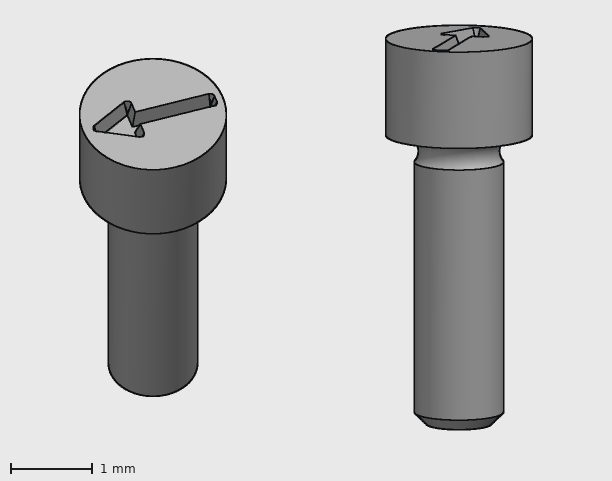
import cadquery as cq
import math

total_length = 4.8
head_radius = 1.8 / 2
head_height = 1.2
shank_radius = 1.1 / 2
tip_chamfer = 0.15

neck_radius = 0.5
groove_radius = 0.2

pocket_depth = 0.2
wall_draft = 15.0
arrow_tail_y = 0.755
arrow_shoulder_y = -0.25
arrow_tip_y = -0.715
arrow_stem_half_width = 0.05
arrow_head_half_width = 0.25

cutter_overrun = 0.01


def make_body():
    """Revolve the half profile of head, undercut, shank and chamfered tip about Z."""
    head_bottom = total_length - head_height
    groove_center_r = neck_radius + groove_radius
    groove_center_z = head_bottom - groove_radius
    groove_drop = math.sqrt(groove_radius**2 - (groove_center_r - shank_radius) ** 2)
    groove_bottom = groove_center_z - groove_drop

    return (
        cq.Workplane("XZ")
        .moveTo(0, 0)
        .lineTo(shank_radius - tip_chamfer, 0)
        .lineTo(shank_radius, tip_chamfer)
        .lineTo(shank_radius, groove_bottom)
        .threePointArc((neck_radius, groove_center_z), (groove_center_r, head_bottom))
        .lineTo(head_radius, head_bottom)
        .lineTo(head_radius, total_length)
        .lineTo(0, total_length)
        .close()
        .revolve(360, (0, 0, 0), (0, 1, 0))
    )


def make_arrow_cutter():
    """Arrow pointing to -Y with sharp floor corners that open into rounded ones."""
    right_side = [
        (arrow_stem_half_width, arrow_tail_y),
        (arrow_stem_half_width, arrow_shoulder_y),
        (arrow_head_half_width, arrow_shoulder_y),
    ]
    left_side = [(-x, y) for x, y in reversed(right_side)]
    outline = right_side + [(0, arrow_tip_y)] + left_side
    return (
        cq.Workplane("XY")
        .workplane(offset=total_length - pocket_depth)
        .polyline(outline)
        .close()
        .extrude(pocket_depth + cutter_overrun, taper=-wall_draft)
    )


result = make_body().cut(make_arrow_cutter())